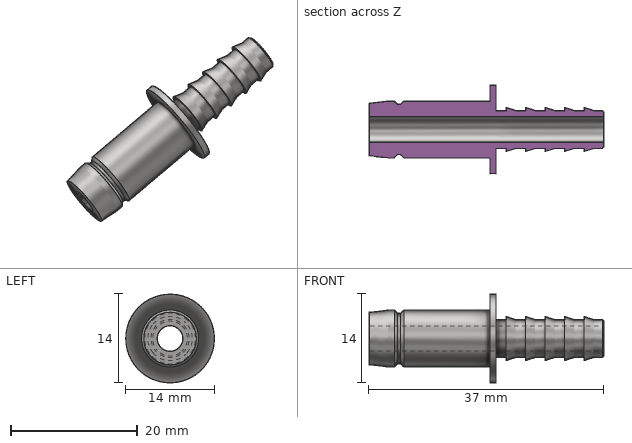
import cadquery as cq

overall_length = 37.0
bore_diameter = 4.0

plug_diameter = 9.0
nose_diameter = 8.3
nose_length = 3.0
land_length = 1.0
groove_diameter = 8.0
groove_floor_width = 0.48
groove_chamfer = (plug_diameter - groove_diameter) / 2

flange_diameter = 14.0
flange_start = 19.0
flange_thickness = 1.0
flange_end = flange_start + flange_thickness

tail_diameter = 6.0
barb_diameter = 7.0
barb_count = 5
barb_length = 1.55
barb_pitch = 3.07
first_barb_gap = 1.55
tip_chamfer = 0.25


def revolve_profile(points):
    """Revolve a closed (x, radius) outline about the X axis."""
    return cq.Workplane("XY").polyline(points).close().revolve(360, (0, 0, 0), (1, 0, 0))


def cylinder(start, end, diameter):
    """Solid cylinder along X between two positions."""
    return cq.Workplane("YZ", origin=(start, 0, 0)).circle(diameter / 2).extrude(end - start)


def make_plug():
    """Plug with a tapered nose and a groove with 45-degree flanks."""
    plug_radius = plug_diameter / 2
    groove_radius = groove_diameter / 2
    land_end = nose_length + land_length
    floor_start = land_end + groove_chamfer
    floor_end = floor_start + groove_floor_width
    return revolve_profile([
        (0, 0),
        (0, nose_diameter / 2),
        (nose_length, plug_radius),
        (land_end, plug_radius),
        (floor_start, groove_radius),
        (floor_end, groove_radius),
        (floor_end + groove_chamfer, plug_radius),
        (flange_start, plug_radius),
        (flange_start, 0),
    ])


def make_barb(start):
    """Conical barb tapering from its full diameter down to the tail."""
    end = start + barb_length
    return revolve_profile([
        (start, 0),
        (start, barb_diameter / 2),
        (end, tail_diameter / 2),
        (end, 0),
    ])


def make_tail():
    """Barbed hose tail with a chamfered tip."""
    tail = cylinder(flange_end, overall_length, tail_diameter).faces(">X").chamfer(tip_chamfer)
    for index in range(barb_count):
        tail = tail.union(make_barb(flange_end + first_barb_gap + index * barb_pitch))
    return tail


flange = cylinder(flange_start, flange_end, flange_diameter)
bore = cylinder(0, overall_length, bore_diameter)

result = make_plug().union(flange).union(make_tail()).cut(bore)